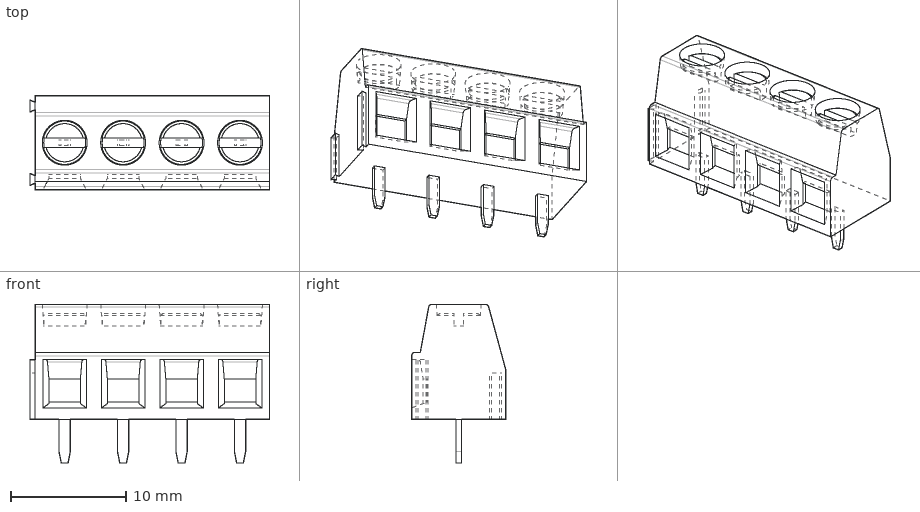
import cadquery as cq

POLE_COUNT = 4
POLE_PITCH = 5.08

TOTAL_LENGTH = 20.82
RAIL_PROJECTION = 0.45
BODY_LENGTH = TOTAL_LENGTH - RAIL_PROJECTION
BODY_DEPTH = 8.2
BODY_HEIGHT = 10.0
FRONT_Y = -BODY_DEPTH / 2
BACK_Y = BODY_DEPTH / 2
LEFT_X = -BODY_LENGTH / 2

LEDGE_HEIGHT = 5.83
LEDGE_DEPTH = 0.75
FRONT_TOP_INSET = 1.52
BACK_WALL_HEIGHT = 4.3
BACK_TOP_INSET = 1.55
EDGE_RADIUS = 0.3

ENTRY_WIDTH = 3.78
ENTRY_BOTTOM = 1.0
ENTRY_TOP = 5.2
ENTRY_DEPTH = 1.35
ENTRY_FLOOR_RISE = 0.5
FUNNEL_DEPTH = 1.0
FUNNEL_SIDE_INSET = 0.52
ROOF_DEPTH = 0.73
ROOF_RADIUS = 0.27
THROAT_TOP = 3.53

HOLE_TOP_RADIUS = 1.95
HOLE_BOTTOM_RADIUS = 1.82
SCREW_RECESS = 0.8
SLOT_DEPTH = 1.1
SLOT_WIDTH = 0.83
SCREW_TOP_RADIUS = 1.66
SCREW_CHAMFER_HEIGHT = 0.15
HOLE_DEPTH = SCREW_RECESS + SLOT_DEPTH

PIN_WIDTH = 1.0
PIN_THICKNESS = 0.5
PIN_LENGTH = 3.8
PIN_TIP_WIDTH = 0.6
PIN_TAPER_LENGTH = 1.0

RAIL_WIDTH = 1.06
RAIL_NECK_WIDTH = 0.66
RAIL_EDGE_OFFSET = 0.38
FRONT_RAIL_HEIGHT = 5.2
BACK_RAIL_HEIGHT = 4.03


def make_housing():
    outline = [
        (FRONT_Y, 0),
        (BACK_Y, 0),
        (BACK_Y, BACK_WALL_HEIGHT),
        (BACK_Y - BACK_TOP_INSET, BODY_HEIGHT),
        (FRONT_Y + FRONT_TOP_INSET, BODY_HEIGHT),
        (FRONT_Y + LEDGE_DEPTH, LEDGE_HEIGHT),
        (FRONT_Y, LEDGE_HEIGHT),
    ]
    housing = cq.Workplane("YZ", origin=(LEFT_X, 0, 0)).polyline(outline).close().extrude(BODY_LENGTH)
    top_edges = housing.faces(">Z").edges("|X")
    ledge_front_edge = housing.faces("<Y").edges(">Z")
    return housing.newObject(top_edges.vals() + ledge_front_edge.vals()).fillet(EDGE_RADIUS)


def make_wire_entry(x):
    """Cutter for one entry: a narrowing funnel with a rounded roof, then a straight-sided throat."""
    side_profile = [
        (FRONT_Y, ENTRY_BOTTOM),
        (FRONT_Y + ENTRY_DEPTH, ENTRY_BOTTOM + ENTRY_FLOOR_RISE),
        (FRONT_Y + ENTRY_DEPTH, THROAT_TOP),
        (FRONT_Y + FUNNEL_DEPTH, THROAT_TOP),
        (FRONT_Y + ROOF_DEPTH, ENTRY_TOP),
        (FRONT_Y, ENTRY_TOP),
    ]
    half_mouth = ENTRY_WIDTH / 2
    half_throat = half_mouth - FUNNEL_SIDE_INSET
    plan_profile = [
        (x - half_mouth, FRONT_Y),
        (x + half_mouth, FRONT_Y),
        (x + half_throat, FRONT_Y + FUNNEL_DEPTH),
        (x + half_throat, FRONT_Y + ENTRY_DEPTH),
        (x - half_throat, FRONT_Y + ENTRY_DEPTH),
        (x - half_throat, FRONT_Y + FUNNEL_DEPTH),
    ]
    side_plane = cq.Workplane("YZ", origin=(x - half_mouth, 0, 0))
    side = side_plane.polyline(side_profile).close().extrude(ENTRY_WIDTH)
    roof_corner = cq.NearestToPointSelector((x, FRONT_Y + ROOF_DEPTH, ENTRY_TOP))
    side = side.edges(roof_corner).fillet(ROOF_RADIUS)
    plan = cq.Workplane("XY").polyline(plan_profile).close().extrude(BODY_HEIGHT)
    return side.intersect(plan)


def make_screw_hole(x):
    """Cutter for the space above one screw: conical hole, rim of the screw head and its slot."""
    hole_bottom = BODY_HEIGHT - HOLE_DEPTH
    screw_top = BODY_HEIGHT - SCREW_RECESS
    rim_z = screw_top - SCREW_CHAMFER_HEIGHT
    wall_slope = (HOLE_TOP_RADIUS - HOLE_BOTTOM_RADIUS) / HOLE_DEPTH
    rim_radius = HOLE_BOTTOM_RADIUS + wall_slope * (rim_z - hole_bottom)
    base = cq.Workplane("XZ", origin=(x, 0, 0))
    cone_profile = [
        (0, hole_bottom),
        (HOLE_BOTTOM_RADIUS, hole_bottom),
        (HOLE_TOP_RADIUS, BODY_HEIGHT),
        (0, BODY_HEIGHT),
    ]
    head_profile = [
        (0, hole_bottom),
        (HOLE_BOTTOM_RADIUS, hole_bottom),
        (rim_radius, rim_z),
        (SCREW_TOP_RADIUS, screw_top),
        (0, screw_top),
    ]
    cone = base.polyline(cone_profile).close().revolve(360, (0, 0), (0, 1))
    head = base.polyline(head_profile).close().revolve(360, (0, 0), (0, 1))
    slot = cq.Workplane("XY", origin=(x, 0, hole_bottom)).rect(POLE_PITCH, SLOT_WIDTH).extrude(HOLE_DEPTH)
    return cone.cut(head.cut(slot))


def make_pin(x):
    half_width = PIN_WIDTH / 2
    half_tip = PIN_TIP_WIDTH / 2
    taper_z = PIN_TAPER_LENGTH - PIN_LENGTH
    outline = [
        (x - half_width, 0),
        (x - half_width, taper_z),
        (x - half_tip, -PIN_LENGTH),
        (x + half_tip, -PIN_LENGTH),
        (x + half_width, taper_z),
        (x + half_width, 0),
    ]
    return cq.Workplane("XZ").polyline(outline).close().extrude(PIN_THICKNESS / 2, both=True)


def make_rail(center_y, height):
    outline = [
        (LEFT_X, center_y - RAIL_NECK_WIDTH / 2),
        (LEFT_X, center_y + RAIL_NECK_WIDTH / 2),
        (LEFT_X - RAIL_PROJECTION, center_y + RAIL_WIDTH / 2),
        (LEFT_X - RAIL_PROJECTION, center_y - RAIL_WIDTH / 2),
    ]
    return cq.Workplane("XY").polyline(outline).close().extrude(height)


result = make_housing()

for pole in range(POLE_COUNT):
    pole_x = (pole - (POLE_COUNT - 1) / 2) * POLE_PITCH
    result = result.cut(make_wire_entry(pole_x))
    result = result.cut(make_screw_hole(pole_x))
    result = result.union(make_pin(pole_x))

rail_center_inset = RAIL_EDGE_OFFSET + RAIL_WIDTH / 2
result = result.union(make_rail(FRONT_Y + rail_center_inset, FRONT_RAIL_HEIGHT))
result = result.union(make_rail(BACK_Y - rail_center_inset, BACK_RAIL_HEIGHT))